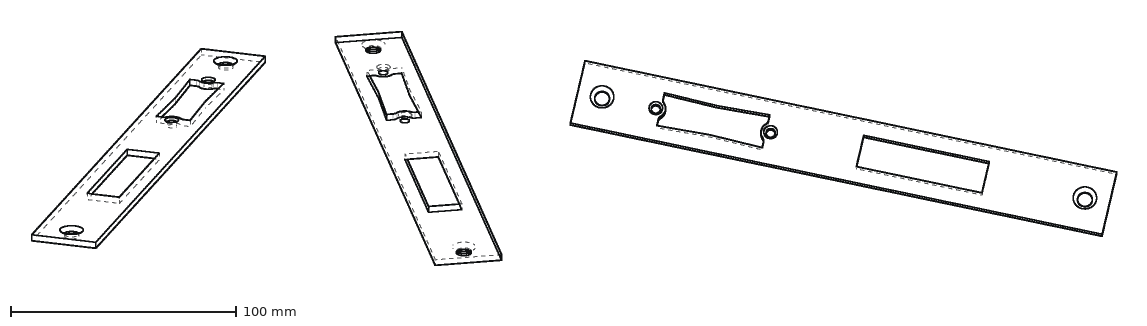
import cadquery as cq

plate_width = 30.0
plate_length = 242.0
plate_thickness = 3.0

fixing_offset = 109.9
fixing_diameter = 6.5
fixing_head_diameter = 10.5

latch_center_y = 59.3
latch_length = 48.0
latch_end_width = 15.7
latch_waist_width = 14.0

screw_spacing = 52.3
screw_diameter = 4.0
screw_head_diameter = 6.0
lug_radius = 4.4
lug_root_fillet = 2.5

bolt_center_y = -36.0
bolt_width = 15.0
bolt_length = 57.0

countersink_angle = 90


def drill_countersunk(body, points, diameter, head_diameter):
    """Drill countersunk through holes from the top face at the given XY points."""
    return (
        body.faces(">Z")
        .workplane(origin=(0, 0, plate_thickness))
        .pushPoints(points)
        .cskHole(diameter, head_diameter, countersink_angle)
    )


def latch_window(screw_points):
    """Solid of the latch window opening, with the screw lugs left out of it."""
    half_width = latch_end_width / 2
    half_waist = latch_waist_width / 2
    low_y = latch_center_y - latch_length / 2
    high_y = latch_center_y + latch_length / 2
    opening = (
        cq.Workplane("XY")
        .moveTo(-half_width, low_y)
        .lineTo(half_width, low_y)
        .lineTo(half_waist, latch_center_y)
        .lineTo(half_width, high_y)
        .lineTo(-half_width, high_y)
        .lineTo(-half_waist, latch_center_y)
        .close()
        .extrude(plate_thickness)
    )
    lugs = cq.Workplane("XY").pushPoints(screw_points).circle(lug_radius).extrude(plate_thickness)
    lug_roots = cq.selectors.BoxSelector(
        (-lug_radius, low_y - lug_radius, 0),
        (lug_radius, high_y + lug_radius, plate_thickness),
    )
    return opening.cut(lugs).edges("|Z").edges(lug_roots).fillet(lug_root_fillet)


def bolt_window():
    """Solid of the bolt window opening."""
    return (
        cq.Workplane("XY")
        .center(0, bolt_center_y)
        .rect(bolt_width, bolt_length)
        .extrude(plate_thickness)
    )


fixing_points = [(0, side * fixing_offset) for side in (-1, 1)]
screw_points = [(0, latch_center_y + side * screw_spacing / 2) for side in (-1, 1)]

plate = cq.Workplane("XY").box(
    plate_width, plate_length, plate_thickness, centered=(True, True, False)
)
plate = plate.cut(latch_window(screw_points)).cut(bolt_window())
plate = drill_countersunk(plate, fixing_points, fixing_diameter, fixing_head_diameter)
result = drill_countersunk(plate, screw_points, screw_diameter, screw_head_diameter)